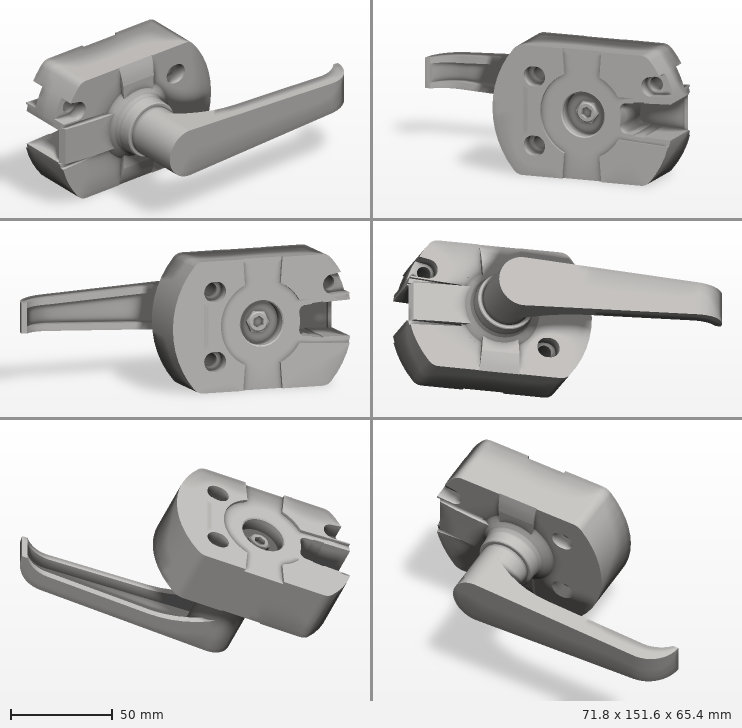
import cadquery as cq
import math


HOUSING_WIDTH = 29.4
HOUSING_HALF_HEIGHT = 32.7
HOUSING_RADIUS = 47.1
HOUSING_CORNER_RADIUS = 6.0

BACK_RECESS_DEPTH = 1.5
COVER_SEAT_X = HOUSING_WIDTH - 1.8
SPIDER_RADIUS = 22.0
SIDE_ARM_ROOT_HALF = 7.9
SIDE_ARM_TIP_HALF = 10.3
LATCH_ARM_ROOT_HALF = 9.5
LATCH_ARM_TIP_HALF = 12.3

BORE_DIAMETER = 22.0
BORE_FLOOR_X = 9.1
BORE_CHAMFER = 0.6

CHANNEL_END_RADIUS = 20.0
CHANNEL_ROOT_HALF = 5.8
CHANNEL_SHOULDER_Y = -26.4
CHANNEL_SHOULDER_HALF = 8.0
CHANNEL_NARROW_HALF = 8.5
CHANNEL_STEP_Y = -32.3
CHANNEL_WIDE_HALF = 9.0
CHANNEL_MOUTH_HALF = 9.1
CHANNEL_CORNER_RADIUS = 3.3

HOLE_DIAMETER = 7.0
HOLE_Z = 17.5
FAR_HOLE_Y = 25.0
NEAR_HOLE_Y = -36.5
COUNTERBORE_DIAMETER = 10.0
COUNTERBORE_LENGTH = 11.4
COUNTERBORE_DEPTH = 7.3
COUNTERBORE_LOWER_ANGLE = 3.3
COUNTERBORE_UPPER_ANGLE = 10.6
GROOVE_Y = 28.5
GROOVE_WIDTH = 2.3
GROOVE_DEPTH = 0.3

ARM_EDGE_X = 29.0
ARM_DOME_X = 30.8
ARM_TOP_X = 31.5
ARM_DOME_ROOT = 15.2
SIDE_ARM_DOME_AT = 27.3
LATCH_ARM_DOME_AT = 30.0
LATCH_ARM_REACH = 45.6
LATCH_DOME_REACH = 43.8
LATCH_ARM_COVER_HALF = 9.7
LATCH_LIP_X = 26.0
LATCH_LIP_START_Y = -43.8
HUB_BASE_RADIUS = 20.3
HUB_NECK_X = 33.3
HUB_NECK_RADIUS = 15.9
COLLAR_START_X = 35.3
COLLAR_RADIUS = 15.0
COLLAR_END_RADIUS = 14.5
COLLAR_END_X = 42.1
COLLAR_CHAMFER = 0.5

SPINDLE_DIAMETER = 15.2
SHAFT_DIAMETER = 25.0
HANDLE_OUTER_X = 71.8
OVERALL_LENGTH = 151.6
LEVER_INNER_X = 62.6
LEVER_TIP_X = 56.1
LEVER_TIP_INNER_Y = 102.5
LEVER_TIP_HALF = 7.6
LEVER_BEND_Y = 88.8
LEVER_BLEND_Y = 35.3
LEVER_ROOT_X = 49.7
LEVER_POCKET_X = 68.4
POCKET_TIP_HALF = 4.9
POCKET_ROOT_HALF = 9.1

HEAD_HEIGHT = 3.0
HEAD_X = BORE_FLOOR_X - HEAD_HEIGHT
HEXAGON_SIDES = 6
HEAD_ACROSS_FLATS = 10.2
HEAD_TOP_RADIUS = 4.4
HEAD_CHAMFER = 0.8
HEAD_TURN = 5.0
SOCKET_CORNER_DIAMETER = 6.0
SOCKET_DEPTH = 3.0
SOCKET_TURN = 95.0

FULL_TURN = 360.0

SIDE_ARM_ANGLES = (90.0, -90.0)
LATCH_ARM_ANGLE = 180.0


def section_at(x):
    """Workplane square to the X axis: local x is Y and local y is Z."""
    return cq.Workplane("YZ", origin=(x, 0, 0))


def disc(x_start, x_end, diameter):
    return section_at(x_start).circle(diameter / 2).extrude(x_end - x_start)


def turn_about_axis(body, angle):
    return body.rotate((0, 0, 0), (1, 0, 0), angle)


def revolve_about_axis(profile):
    return profile.revolve(FULL_TURN, (0, 0, 0), (1, 0, 0))


def arm(x_start, x_end, reach, root_half, tip_half, angle):
    """Flat tapering arm from the axis outwards."""
    outline = [(0, -root_half), (reach, -tip_half), (reach, tip_half), (0, root_half)]
    body = section_at(x_start).polyline(outline).close().extrude(x_end - x_start)
    return turn_about_axis(body, angle)


def housing_block():
    ends = disc(0, HOUSING_WIDTH, 2 * HOUSING_RADIUS)
    flats = cq.Workplane("XY").box(
        HOUSING_WIDTH, 2 * HOUSING_RADIUS, 2 * HOUSING_HALF_HEIGHT, centered=(False, True, True)
    )
    return ends.intersect(flats).edges("|X").edges(">Z or <Z").fillet(HOUSING_CORNER_RADIUS)


def spider_recess(x_start, x_end):
    recess = disc(x_start, x_end, 2 * SPIDER_RADIUS)
    for angle in SIDE_ARM_ANGLES:
        recess = recess.union(
            arm(x_start, x_end, HOUSING_HALF_HEIGHT, SIDE_ARM_ROOT_HALF, SIDE_ARM_TIP_HALF, angle)
        )
    return recess.union(
        arm(x_start, x_end, HOUSING_RADIUS, LATCH_ARM_ROOT_HALF, LATCH_ARM_TIP_HALF, LATCH_ARM_ANGLE)
    )


def latch_channel():
    """Stepped channel whose inner end is concentric with the bore."""
    half_outline = [
        (0, 0),
        (0, CHANNEL_ROOT_HALF),
        (CHANNEL_SHOULDER_Y, CHANNEL_SHOULDER_HALF),
        (CHANNEL_SHOULDER_Y, CHANNEL_NARROW_HALF),
        (CHANNEL_STEP_Y, CHANNEL_WIDE_HALF),
        (CHANNEL_STEP_Y, CHANNEL_NARROW_HALF),
        (-HOUSING_RADIUS, CHANNEL_MOUTH_HALF),
        (-HOUSING_RADIUS, 0),
    ]
    half = section_at(0).polyline(half_outline).close().extrude(COVER_SEAT_X)
    channel = half.union(half.mirror("XY"))
    channel = channel.cut(disc(0, COVER_SEAT_X, 2 * CHANNEL_END_RADIUS))
    return channel.edges("|X").edges(">Y").fillet(CHANNEL_CORNER_RADIUS)


def lip_seat():
    """Notch across the mouth of the channel for the lip of the latch arm."""
    length = HOUSING_RADIUS + LATCH_LIP_START_Y
    return cq.Workplane("XY").box(
        COVER_SEAT_X - LATCH_LIP_X, length, 2 * LATCH_ARM_COVER_HALF, centered=(False, False, True)
    ).translate((LATCH_LIP_X, -HOUSING_RADIUS, 0))


def bore():
    chamfer_x = BACK_RECESS_DEPTH + BORE_CHAMFER
    radius = BORE_DIAMETER / 2
    profile = [
        (BACK_RECESS_DEPTH, 0),
        (BACK_RECESS_DEPTH, radius + BORE_CHAMFER),
        (chamfer_x, radius),
        (BORE_FLOOR_X, radius),
        (BORE_FLOOR_X, 0),
    ]
    return revolve_about_axis(cq.Workplane("XY").polyline(profile).close())


def closed_counterbore(x_start, y, z):
    return (
        section_at(x_start)
        .center(y, z)
        .slot2D(COUNTERBORE_LENGTH, COUNTERBORE_DIAMETER)
        .extrude(COUNTERBORE_DEPTH)
    )


def open_counterbore(x_start, y, z):
    """Counterbore that runs out through the -Y end of the housing between flaring walls."""
    radius = COUNTERBORE_DIAMETER / 2
    lower = math.radians(COUNTERBORE_LOWER_ANGLE)
    upper = math.radians(COUNTERBORE_UPPER_ANGLE)
    run = HOUSING_RADIUS + y
    lower_start = (y + radius * math.sin(lower), z - radius * math.cos(lower))
    upper_start = (y + radius * math.sin(upper), z + radius * math.cos(upper))
    return (
        section_at(x_start)
        .moveTo(*lower_start)
        .threePointArc((y + radius, z), upper_start)
        .lineTo(upper_start[0] - run, upper_start[1] + run * math.tan(upper))
        .lineTo(lower_start[0] - run, lower_start[1] + run * math.tan(lower))
        .close()
        .extrude(COUNTERBORE_DEPTH)
    )


def hole_groove():
    """Shallow groove joining the two far counterbores on the back face."""
    return cq.Workplane("XY").box(
        GROOVE_DEPTH, GROOVE_WIDTH, 2 * HOLE_Z, centered=(False, False, True)
    ).translate((0, GROOVE_Y, 0))


def make_housing():
    body = housing_block()
    body = body.cut(spider_recess(0, BACK_RECESS_DEPTH))
    body = body.cut(spider_recess(COVER_SEAT_X, HOUSING_WIDTH))
    body = body.cut(latch_channel()).cut(lip_seat())
    body = body.cut(bore()).cut(disc(BORE_FLOOR_X, COVER_SEAT_X, SPINDLE_DIAMETER))
    body = body.cut(hole_groove())
    holes = [
        (FAR_HOLE_Y, HOLE_Z, closed_counterbore),
        (FAR_HOLE_Y, -HOLE_Z, closed_counterbore),
        (NEAR_HOLE_Y, HOLE_Z, open_counterbore),
    ]
    for y, z, counterbore in holes:
        body = body.cut(section_at(0).center(y, z).circle(HOLE_DIAMETER / 2).extrude(HOUSING_WIDTH))
        for x_start in (0, HOUSING_WIDTH - COUNTERBORE_DEPTH):
            body = body.cut(counterbore(x_start, y, z))
    return body


def domed_arm(reach, root_half, tip_half, dome_at, angle):
    """Cover arm with a curved outer side that drops towards its tip."""
    plan = arm(COVER_SEAT_X, ARM_TOP_X, reach, root_half, tip_half, 0)
    dome = (
        cq.Workplane("XY")
        .moveTo(COVER_SEAT_X, 0)
        .lineTo(COVER_SEAT_X, reach)
        .lineTo(ARM_EDGE_X, reach)
        .threePointArc((ARM_DOME_X, dome_at), (ARM_TOP_X, ARM_DOME_ROOT))
        .lineTo(ARM_TOP_X, 0)
        .close()
        .extrude(tip_half + root_half, both=True)
    )
    return turn_about_axis(plan.intersect(dome), angle)


def latch_lip():
    """Lip at the end of the latch arm that reaches into the channel mouth."""
    length = LATCH_ARM_REACH + LATCH_LIP_START_Y
    return cq.Workplane("XY").box(
        COVER_SEAT_X - LATCH_LIP_X, length, 2 * LATCH_ARM_COVER_HALF, centered=(False, False, True)
    ).translate((LATCH_LIP_X, -LATCH_ARM_REACH, 0))


def latch_bevel():
    """Material outside the sloping end face of the latch arm."""
    outline = [
        (LATCH_LIP_X, -LATCH_ARM_REACH),
        (ARM_TOP_X, -LATCH_ARM_REACH),
        (ARM_TOP_X, -LATCH_DOME_REACH),
        (ARM_EDGE_X, -LATCH_DOME_REACH),
    ]
    return cq.Workplane("XY").polyline(outline).close().extrude(LATCH_ARM_COVER_HALF, both=True)


def hub():
    """Conical hub that ends in a slightly tapered collar."""
    profile = [
        (HOUSING_WIDTH, 0),
        (HOUSING_WIDTH, HUB_BASE_RADIUS),
        (HUB_NECK_X, HUB_NECK_RADIUS),
        (COLLAR_START_X, COLLAR_RADIUS),
        (COLLAR_END_X - COLLAR_CHAMFER, COLLAR_END_RADIUS),
        (COLLAR_END_X, COLLAR_END_RADIUS - COLLAR_CHAMFER),
        (COLLAR_END_X, 0),
    ]
    return revolve_about_axis(cq.Workplane("XY").polyline(profile).close())


def make_cover():
    body = disc(COVER_SEAT_X, HOUSING_WIDTH, 2 * SPIDER_RADIUS).union(hub())
    for angle in SIDE_ARM_ANGLES:
        body = body.union(
            domed_arm(HOUSING_HALF_HEIGHT, SIDE_ARM_ROOT_HALF, SIDE_ARM_TIP_HALF, SIDE_ARM_DOME_AT, angle)
        )
    body = body.union(
        domed_arm(
            LATCH_ARM_REACH, LATCH_ARM_COVER_HALF, LATCH_ARM_COVER_HALF, LATCH_ARM_DOME_AT, LATCH_ARM_ANGLE
        )
    )
    body = body.union(latch_lip()).cut(latch_bevel())
    return body.cut(disc(COVER_SEAT_X, COLLAR_END_X, SPINDLE_DIAMETER))


def bend_middle(bend_x, tip_x, tip_y):
    """Middle point of an arc that leaves (bend_x, LEVER_BEND_Y) along Y and ends at the tip."""
    across = bend_x - tip_x
    along = tip_y - LEVER_BEND_Y
    radius = (across**2 + along**2) / (2 * across)
    half_sweep = math.atan2(along, radius - across) / 2
    return (
        bend_x - radius * (1 - math.cos(half_sweep)),
        LEVER_BEND_Y + radius * math.sin(half_sweep),
    )


def blend_middle():
    """Middle point of the arc that leads the inner side of the lever down to the shaft."""
    across = LEVER_INNER_X - LEVER_ROOT_X
    radius = (across**2 + LEVER_BLEND_Y**2) / (2 * across)
    half_sweep = math.asin(LEVER_BLEND_Y / radius) / 2
    return (
        LEVER_INNER_X - radius * (1 - math.cos(half_sweep)),
        LEVER_BLEND_Y - radius * math.sin(half_sweep),
    )


def tapered_plan(root_half, tip_half, tip_y):
    """Outline across Y and Z that narrows from the axis to its tip, drawn out along X."""
    outline = [(0, -root_half), (tip_y, -tip_half), (tip_y, tip_half), (0, root_half)]
    return section_at(0).polyline(outline).close().extrude(HANDLE_OUTER_X)


def lever(tip_y):
    side = (
        cq.Workplane("XY")
        .moveTo(LEVER_ROOT_X, 0)
        .lineTo(HANDLE_OUTER_X, 0)
        .lineTo(HANDLE_OUTER_X, LEVER_BEND_Y)
        .threePointArc(bend_middle(HANDLE_OUTER_X, LEVER_TIP_X, tip_y), (LEVER_TIP_X, tip_y))
        .lineTo(LEVER_TIP_X, LEVER_TIP_INNER_Y)
        .threePointArc(
            bend_middle(LEVER_INNER_X, LEVER_TIP_X, LEVER_TIP_INNER_Y), (LEVER_INNER_X, LEVER_BEND_Y)
        )
        .lineTo(LEVER_INNER_X, LEVER_BLEND_Y)
        .threePointArc(blend_middle(), (LEVER_ROOT_X, 0))
        .close()
        .extrude(SHAFT_DIAMETER, both=True)
    )
    return side.intersect(tapered_plan(SHAFT_DIAMETER / 2, LEVER_TIP_HALF, tip_y))


def lever_pocket():
    """Pocket in the inner side of the lever, running out at the tip."""
    side = (
        cq.Workplane("XY")
        .moveTo(LEVER_ROOT_X, 0)
        .lineTo(LEVER_POCKET_X, 0)
        .lineTo(LEVER_POCKET_X, LEVER_BEND_Y)
        .threePointArc(
            bend_middle(LEVER_POCKET_X, LEVER_TIP_X, LEVER_TIP_INNER_Y), (LEVER_TIP_X, LEVER_TIP_INNER_Y)
        )
        .lineTo(LEVER_ROOT_X, LEVER_TIP_INNER_Y)
        .close()
        .extrude(SHAFT_DIAMETER, both=True)
    )
    taper = tapered_plan(POCKET_ROOT_HALF, POCKET_TIP_HALF, LEVER_BEND_Y)
    straight = cq.Workplane("XY").box(
        HANDLE_OUTER_X, LEVER_TIP_INNER_Y, 2 * POCKET_TIP_HALF, centered=(False, False, True)
    )
    return side.intersect(taper.union(straight))


def spindle_head():
    """Chamfered hexagonal head."""
    corner_diameter = HEAD_ACROSS_FLATS / math.cos(math.pi / HEXAGON_SIDES)
    head = section_at(HEAD_X).polygon(HEXAGON_SIDES, corner_diameter).extrude(HEAD_HEIGHT)
    cone = [
        (HEAD_X, 0),
        (HEAD_X, HEAD_TOP_RADIUS),
        (HEAD_X + HEAD_CHAMFER, HEAD_ACROSS_FLATS / 2),
        (BORE_FLOOR_X, corner_diameter),
        (BORE_FLOOR_X, 0),
    ]
    head = head.intersect(revolve_about_axis(cq.Workplane("XY").polyline(cone).close()))
    return turn_about_axis(head, HEAD_TURN)


def head_socket():
    """Blind hexagonal socket in the head."""
    socket = section_at(HEAD_X).polygon(HEXAGON_SIDES, SOCKET_CORNER_DIAMETER).extrude(SOCKET_DEPTH)
    return turn_about_axis(socket, SOCKET_TURN)


def make_handle():
    latch_end_y = -math.sqrt(HOUSING_RADIUS**2 - CHANNEL_MOUTH_HALF**2)
    body = lever(latch_end_y + OVERALL_LENGTH).cut(lever_pocket())
    body = body.union(disc(COLLAR_END_X, HANDLE_OUTER_X, SHAFT_DIAMETER))
    body = body.union(disc(BORE_FLOOR_X, COLLAR_END_X, SPINDLE_DIAMETER))
    return body.union(spindle_head()).cut(head_socket())


housing = make_housing()
cover = make_cover()
handle = make_handle()

result = cq.Compound.makeCompound([housing.val(), cover.val(), handle.val()])